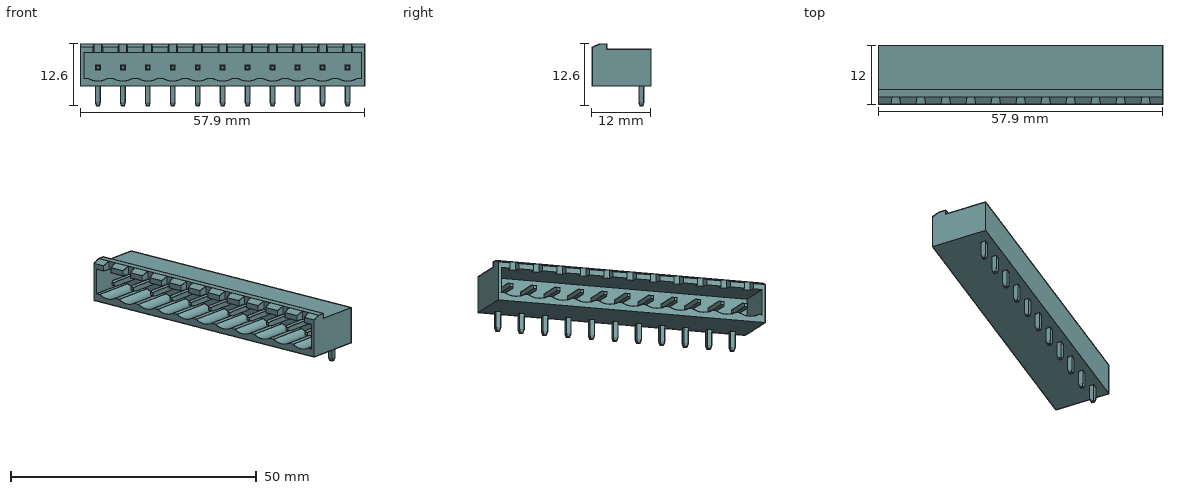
import cadquery as cq

PIN_COUNT = 11
PITCH = 5.08
PIN_SIZE = 1.0
TIP_SIZE = 0.6
TIP_LENGTH = 0.7
TAIL_LENGTH = 4.0
TAIL_FROM_BACK = 2.0
CONTACT_HEIGHT = 3.8
CONTACT_SETBACK = 1.8

LENGTH = 57.88
DEPTH = 12.0
HEIGHT = 8.6
LIP_DEPTH = 3.0
LIP_RISE = 1.05
BEVEL_DEPTH = 1.5
BEVEL_DROP = 0.65

END_WALL = 0.7
CAVITY_DEPTH = 9.0
CAVITY_TOP = 6.85
FLOOR_HEIGHT = 1.6
TROUGH_DROP = 0.55
TROUGH_WIDTH = 4.0

NOTCH_BACK_WIDTH = 1.5
NOTCH_FRONT_WIDTH = 2.0

TAIL_Y = DEPTH - TAIL_FROM_BACK
PIN_XS = [(i - (PIN_COUNT - 1) / 2) * PITCH for i in range(PIN_COUNT)]


def make_housing():
    """Side profile with the bevelled lip, extruded along X."""
    return (
        cq.Workplane("YZ", origin=(-LENGTH / 2, 0, 0))
        .moveTo(0, 0)
        .lineTo(DEPTH, 0)
        .lineTo(DEPTH, HEIGHT - LIP_RISE)
        .lineTo(LIP_DEPTH, HEIGHT - LIP_RISE)
        .lineTo(LIP_DEPTH, HEIGHT)
        .lineTo(BEVEL_DEPTH, HEIGHT)
        .lineTo(0, HEIGHT - BEVEL_DROP)
        .close()
        .extrude(LENGTH)
    )


def make_cavity():
    """Front opening whose floor dips in a round trough under every pin."""
    half_length = LENGTH / 2 - END_WALL
    outline = cq.Workplane("XZ").moveTo(-half_length, CAVITY_TOP).lineTo(-half_length, FLOOR_HEIGHT)
    for x in PIN_XS:
        outline = outline.lineTo(x - TROUGH_WIDTH / 2, FLOOR_HEIGHT).threePointArc(
            (x, FLOOR_HEIGHT - TROUGH_DROP),
            (x + TROUGH_WIDTH / 2, FLOOR_HEIGHT),
        )
    outline = outline.lineTo(half_length, FLOOR_HEIGHT).lineTo(half_length, CAVITY_TOP)
    return outline.close().extrude(-CAVITY_DEPTH)


def make_notch(x):
    """Flared cut through the bevelled edge, down into the cavity."""
    return (
        cq.Workplane("XY", origin=(x, 0, CAVITY_TOP))
        .moveTo(-NOTCH_FRONT_WIDTH / 2, 0)
        .lineTo(NOTCH_FRONT_WIDTH / 2, 0)
        .lineTo(NOTCH_BACK_WIDTH / 2, BEVEL_DEPTH)
        .lineTo(-NOTCH_BACK_WIDTH / 2, BEVEL_DEPTH)
        .close()
        .extrude(HEIGHT - CAVITY_TOP)
    )


def make_bar(start, direction, length):
    """Square bar from start along direction, ending in a tapered tip."""
    plane = cq.Plane(origin=start, xDir=(1, 0, 0), normal=direction)
    shank_length = length - TIP_LENGTH
    shank = cq.Workplane(plane).rect(PIN_SIZE, PIN_SIZE).extrude(shank_length)
    tip = (
        cq.Workplane(plane)
        .workplane(offset=shank_length)
        .rect(PIN_SIZE, PIN_SIZE)
        .workplane(offset=TIP_LENGTH)
        .rect(TIP_SIZE, TIP_SIZE)
        .loft(ruled=True)
    )
    return shank.union(tip)


def make_pin(x):
    """Right-angle pin: contact toward the front, solder tail downward."""
    bend = (x, TAIL_Y, CONTACT_HEIGHT)
    contact = make_bar(bend, (0, -1, 0), TAIL_Y - CONTACT_SETBACK)
    tail = make_bar(bend, (0, 0, -1), CONTACT_HEIGHT + TAIL_LENGTH)
    return contact.union(tail)


result = make_housing().cut(make_cavity())
for pin_x in PIN_XS:
    result = result.cut(make_notch(pin_x)).union(make_pin(pin_x))